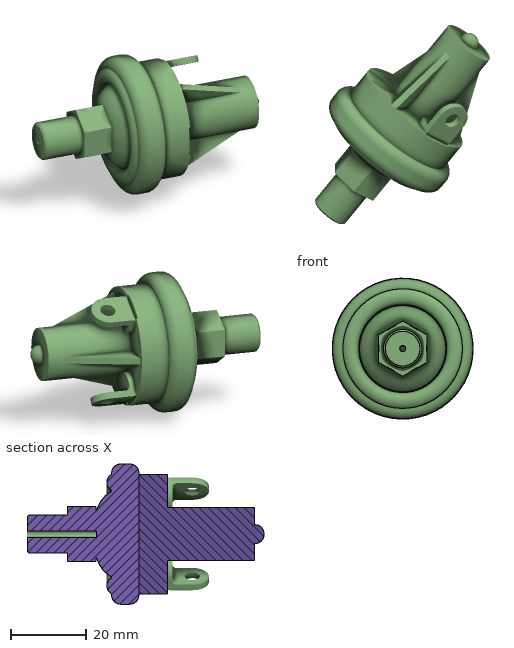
import cadquery as cq
import math


rim_radius = 18.7
rim_height = 7.35
rim_fillet = 2.5
bead_inner_radius = 11.6
bead_outer_radius = 15.85
bead_height = 1.25
dome_foot_radius = 11.45
dome_top_radius = 6.3
dome_height = 3.95
dome_bulge = 0.6
hex_across_flats = 12.75
hex_height = 7.7
stem_radius = 5.1
stem_length = 10.7
stem_chamfer = 0.5
port_diameter = 1.6

cap_radius = 15.9
cap_height = 7.55
tube_radius = 7.1
tube_length = 23.1
tip_radius = 2.6
rib_thickness = 1.7
rib_foot_radius = 14.65
rib_height = 18.55
rib_angles = (60, 180, 300)

terminal_width = 8.8
terminal_thickness = 1.75
terminal_face_radius = 14.7
tab_hole_diameter = 4.0
tab_hole_height = 6.6
inner_bend_radius = 1.0
outer_bend_radius = 1.15
slot_depth = 0.4
slot_overrun = 0.6
slot_angles = (0, 120, 240)
terminal_angles = (120, 240)

rim_bottom_y = -rim_height
hex_top_y = rim_bottom_y - dome_height
hex_bottom_y = hex_top_y - hex_height
stem_end_y = hex_bottom_y - stem_length
slot_floor_y = cap_height - slot_depth
tube_end_y = cap_height + tube_length

end_radius = terminal_width / 2
foot_center_radius = tube_radius + end_radius


def along_y(y):
    """Workplane across the axis at the given level, facing +Y."""
    return cq.Workplane(cq.Plane(origin=(0, y, 0), xDir=(1, 0, 0), normal=(0, 1, 0)))


def turned(shape, angle):
    """Shape turned about the Y axis."""
    return shape.rotate((0, 0, 0), (0, 1, 0), angle)


def make_base():
    dome_run = dome_foot_radius - dome_top_radius
    chord = math.hypot(dome_run, dome_height)
    dome_mid = (
        (dome_foot_radius + dome_top_radius) / 2 + dome_bulge * dome_height / chord,
        (rim_bottom_y + hex_top_y) / 2 - dome_bulge * dome_run / chord,
    )
    bead_mid = ((bead_inner_radius + bead_outer_radius) / 2, rim_bottom_y - bead_height)
    corner = rim_fillet * (1 - math.sqrt(0.5))
    shoulder_radius = rim_radius - rim_fillet

    body = (
        cq.Workplane("XY")
        .lineTo(shoulder_radius, 0)
        .threePointArc((rim_radius - corner, -corner), (rim_radius, -rim_fillet))
        .lineTo(rim_radius, rim_bottom_y + rim_fillet)
        .threePointArc((rim_radius - corner, rim_bottom_y + corner), (shoulder_radius, rim_bottom_y))
        .lineTo(bead_outer_radius, rim_bottom_y)
        .threePointArc(bead_mid, (bead_inner_radius, rim_bottom_y))
        .lineTo(dome_foot_radius, rim_bottom_y)
        .threePointArc(dome_mid, (dome_top_radius, hex_top_y))
        .lineTo(0, hex_top_y)
        .close()
        .revolve(360, (0, 0, 0), (0, 1, 0))
    )

    hex_across_corners = hex_across_flats / math.cos(math.radians(30))
    hexagon = along_y(hex_bottom_y).polygon(6, hex_across_corners).extrude(hex_height)
    body = body.union(turned(hexagon, 30))

    stem = along_y(stem_end_y).circle(stem_radius).extrude(stem_length)
    body = body.union(stem.faces("<Y").chamfer(stem_chamfer))

    port = along_y(stem_end_y).circle(port_diameter / 2).extrude(stem_length + hex_height)
    return body.cut(port)


def make_foot_outline(y, outer_radius, height):
    """Strip along +X with a round inner end, standing on the level y."""
    length = outer_radius - foot_center_radius
    strip = (
        along_y(y)
        .center(foot_center_radius + length / 2, 0)
        .rect(length, terminal_width)
        .extrude(height)
    )
    round_end = along_y(y).center(foot_center_radius, 0).circle(end_radius).extrude(height)
    return strip.union(round_end)


def make_rib():
    root_radius = tube_radius / 2
    return (
        cq.Workplane("XY")
        .moveTo(root_radius, cap_height)
        .lineTo(rib_foot_radius, cap_height)
        .lineTo(tube_radius, cap_height + rib_height)
        .lineTo(root_radius, cap_height + rib_height)
        .close()
        .extrude(rib_thickness / 2, both=True)
    )


def make_cap():
    disc = along_y(0).circle(cap_radius).extrude(cap_height)
    slot = make_foot_outline(slot_floor_y, cap_radius + slot_overrun, slot_depth)
    for angle in slot_angles:
        disc = disc.cut(turned(slot, angle))

    tube = along_y(cap_height).circle(tube_radius).extrude(tube_length)
    tip = cq.Workplane("XY").sphere(tip_radius).translate((0, tube_end_y, 0))
    cap = disc.union(tube).union(tip)

    rib = make_rib()
    for angle in rib_angles:
        cap = cap.union(turned(rib, angle))
    return cap


def make_terminal(angle):
    tab_inner_radius = terminal_face_radius - terminal_thickness
    foot_top_y = slot_floor_y + terminal_thickness
    hole_y = cap_height + tab_hole_height
    top_y = hole_y + end_radius

    strip = (
        cq.Workplane("XY")
        .moveTo(tube_radius, slot_floor_y)
        .lineTo(terminal_face_radius, slot_floor_y)
        .lineTo(terminal_face_radius, top_y)
        .lineTo(tab_inner_radius, top_y)
        .lineTo(tab_inner_radius, foot_top_y)
        .lineTo(tube_radius, foot_top_y)
        .close()
        .extrude(end_radius, both=True)
    )
    inner_corner = cq.selectors.NearestToPointSelector((tab_inner_radius, foot_top_y, 0))
    outer_corner = cq.selectors.NearestToPointSelector((terminal_face_radius, slot_floor_y, 0))
    strip = strip.edges(inner_corner).fillet(inner_bend_radius)
    strip = strip.edges(outer_corner).fillet(outer_bend_radius)

    strip = strip.intersect(make_foot_outline(slot_floor_y, terminal_face_radius, top_y - slot_floor_y))
    facing_out = cq.Workplane("YZ")
    tab_outline = (
        facing_out.moveTo(slot_floor_y, -end_radius)
        .lineTo(hole_y, -end_radius)
        .threePointArc((top_y, 0), (hole_y, end_radius))
        .lineTo(slot_floor_y, end_radius)
        .close()
        .extrude(terminal_face_radius)
    )
    strip = strip.intersect(tab_outline)

    hole = facing_out.center(hole_y, 0).circle(tab_hole_diameter / 2).extrude(terminal_face_radius)
    return turned(strip.cut(hole), angle)


base = make_base()
cap = make_cap()
terminals = [make_terminal(angle) for angle in terminal_angles]

result = cq.Compound.makeCompound([
    base.solids().val(),
    cap.solids().val(),
    *[terminal.solids().val() for terminal in terminals],
])